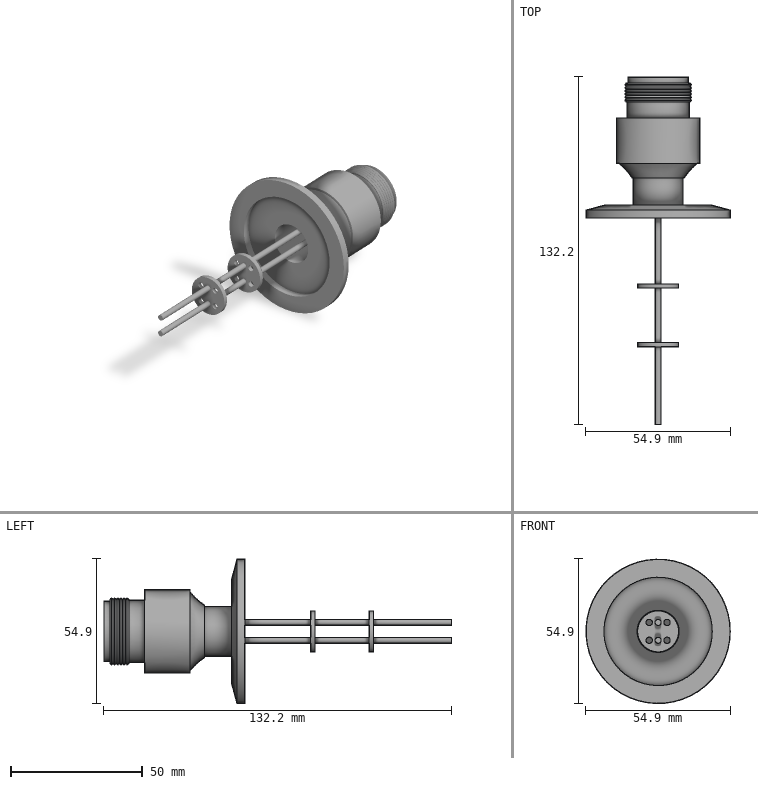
import cadquery as cq
import math


flange_radius = 54.89 / 2
flange_rim = 3.0
flange_thickness = 5.0
flange_taper = math.radians(15)
recess_radius = 41.2 / 2
recess_depth = 3.0

tube_radius = 19.05 / 2
bore_radius = 16.0 / 2
adapter_start = 15.3
adapter_small_radius = 9.9
adapter_large_radius = 14.9
adapter_sag = 0.27

body_start = 20.8
body_end = 38.05
body_radius = 31.75 / 2
neck_radius = 23.8 / 2
thread_crest_radius = 25.4 / 2
thread_root_radius = 12.2
thread_pitch = 1.2
thread_ridges = 6
thread_end = 51.3
nose_radius = 23.0 / 2
nose_end = 53.6

part_length = 132.19
rod_radius = 2.3 / 2
hole_radius = 2.4 / 2
rod_offset = 3.39
rod_tip = nose_end - part_length
disc_radius = 15.6 / 2
disc_thickness = 1.7
disc_front_faces = (-26.7, -49.0)


def turned(profile):
    """Revolve a closed (radius, y) profile about the Y axis."""
    return profile.close().revolve(360, (0, 0, 0), (0, 1, 0))


def cylinder(radius, y_from, y_to, x=0, z=0):
    """Cylinder along Y between two stations, with its axis through (x, z)."""
    base = cq.Workplane("XZ", origin=(x, y_from, z))
    return base.circle(radius).extrude(y_from - y_to)


def make_flange():
    back_radius = flange_radius - (flange_thickness - flange_rim) / math.tan(flange_taper)
    profile = (
        cq.Workplane("XY")
        .lineTo(flange_radius, 0)
        .lineTo(flange_radius, flange_rim)
        .lineTo(back_radius, flange_thickness)
        .lineTo(0, flange_thickness)
    )
    return turned(profile).cut(cylinder(recess_radius, 0, recess_depth))


def make_adapter():
    radius_gain = adapter_large_radius - adapter_small_radius
    length = body_start - adapter_start
    chord = math.hypot(radius_gain, length)
    middle_radius = (adapter_small_radius + adapter_large_radius) / 2 - adapter_sag * length / chord
    middle_y = (adapter_start + body_start) / 2 + adapter_sag * radius_gain / chord
    profile = (
        cq.Workplane("XY")
        .moveTo(0, adapter_start)
        .lineTo(adapter_small_radius, adapter_start)
        .threePointArc((middle_radius, middle_y), (adapter_large_radius, body_start))
        .lineTo(0, body_start)
    )
    return turned(profile)


def make_thread():
    """Row of separate V-shaped ridges."""
    thread_start = thread_end - thread_ridges * thread_pitch
    profile = cq.Workplane("XY").moveTo(0, thread_start).lineTo(thread_root_radius, thread_start)
    for ridge in range(thread_ridges):
        ridge_start = thread_start + ridge * thread_pitch
        profile = profile.lineTo(thread_crest_radius, ridge_start + thread_pitch / 2)
        profile = profile.lineTo(thread_root_radius, ridge_start + thread_pitch)
    return turned(profile.lineTo(0, thread_end))


def make_shell():
    shell = make_flange()
    shell = shell.union(cylinder(tube_radius, recess_depth, body_start))
    shell = shell.union(make_adapter())
    shell = shell.union(cylinder(body_radius, body_start, body_end))
    shell = shell.union(cylinder(neck_radius, body_end, thread_end))
    shell = shell.union(make_thread())
    shell = shell.union(cylinder(nose_radius, thread_end, nose_end))
    return shell.cut(cylinder(bore_radius, 0, body_start))


def make_disc(front_face):
    """Spacer disc with four open holes; the rods cross it midway between them."""
    disc = cylinder(disc_radius, front_face, front_face + disc_thickness)
    for x in (-rod_offset, rod_offset):
        for z in (-rod_offset, rod_offset):
            disc = disc.cut(cylinder(hole_radius, front_face, front_face + disc_thickness, x, z))
    return disc


result = make_shell()
for disc_face in disc_front_faces:
    result = result.union(make_disc(disc_face))
for rod_z in (-rod_offset, rod_offset):
    result = result.union(cylinder(rod_radius, rod_tip, body_end, 0, rod_z))